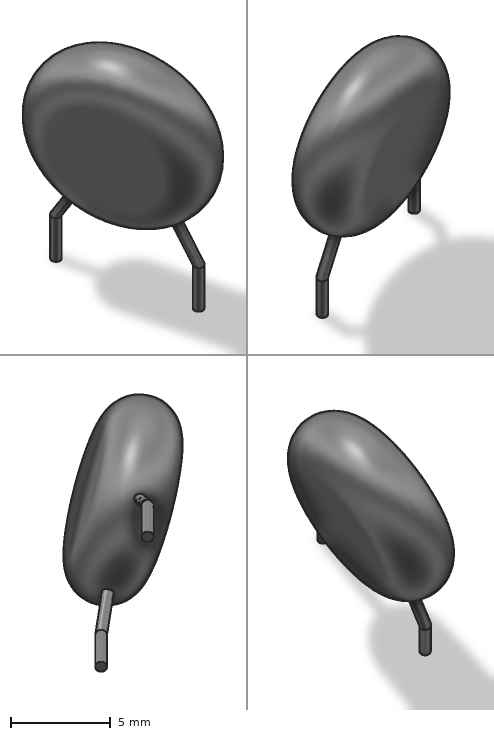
import cadquery as cq

total_height = 15.4
disc_diameter = 10.8
disc_thickness = 4.0
lead_diameter = 0.6
lead_spacing = 8.01
lead_offset = 0.25
straight_length = 3.0
lean_per_height = 0.51

disc_radius = disc_diameter / 2
rim_radius = disc_thickness / 2
flat_radius = disc_radius - rim_radius
disc_center_z = total_height - disc_radius
bent_rise = disc_center_z - straight_length


def lead_x(side):
    """X position of a straight lead; side is -1 or +1."""
    return lead_offset + side * lead_spacing / 2


def make_disc():
    """Disc with flat faces across Y and a fully rounded rim, centred above the leads."""
    return (
        cq.Workplane("XY")
        .moveTo(0, -rim_radius)
        .lineTo(flat_radius, -rim_radius)
        .threePointArc((disc_radius, 0), (flat_radius, rim_radius))
        .lineTo(0, rim_radius)
        .close()
        .revolve(360, (0, 0, 0), (0, 1, 0))
        .translate((0, 0, disc_center_z))
    )


def make_straight_lead(side):
    """Vertical lower lead; side is -1 or +1 along X."""
    return (
        cq.Workplane("XY")
        .center(lead_x(side), 0)
        .circle(lead_diameter / 2)
        .extrude(straight_length)
    )


def make_bent_lead(side, disc):
    """Oblique upper lead with a horizontal circular foot, ending on the disc's surface."""
    foot_center = cq.Vector(lead_x(side), 0, straight_length)
    foot = cq.Wire.makeCircle(lead_diameter / 2, foot_center, cq.Vector(0, 0, 1))
    direction = cq.Vector(-side * lean_per_height * bent_rise, 0, bent_rise)
    oblique = cq.Solid.extrudeLinear(foot, [], direction)
    return cq.Workplane(obj=oblique).cut(disc)


disc = make_disc()
straight_leads = []
bent_leads = []
for side in (-1, 1):
    straight_leads.append(make_straight_lead(side).val())
    bent_leads.extend(make_bent_lead(side, disc).solids().vals())

result = cq.Compound.makeCompound([disc.val(), *straight_leads, *bent_leads])